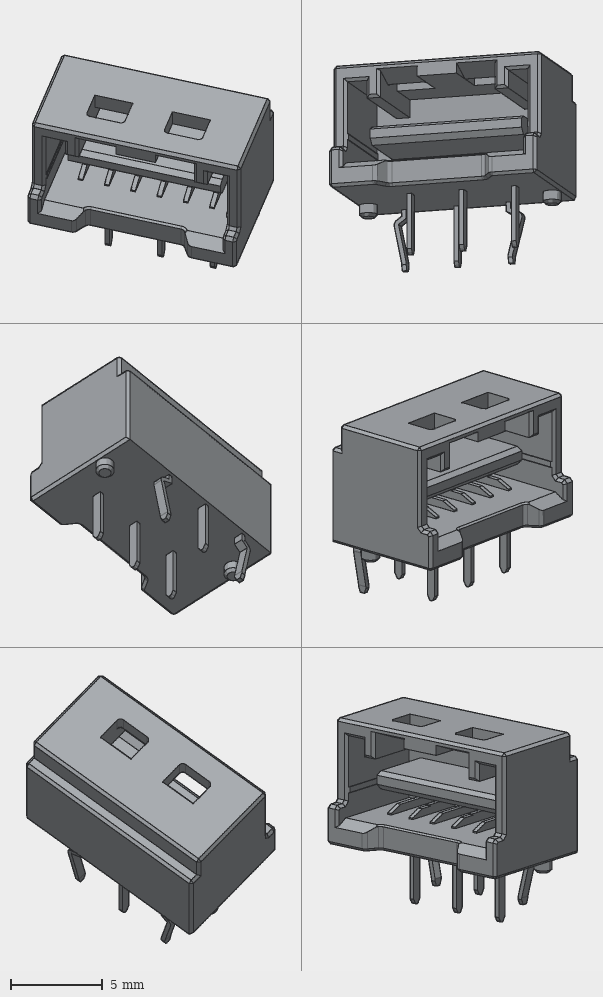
import cadquery as cq
import math


WIDTH = 11.9
DEPTH = 7.25
HEIGHT = 6.96
EDGE = 0.17
HALF_WIDTH = WIDTH / 2
TOLERANCE = 0.001

BACK_STEP_DEPTH = 0.63
BACK_STEP_Z = 5.5
FACE_Y = 0.81
LIP_TOP_Z = 2.25
LIP_BEVEL = 0.19
LIP_SHOULDER = 0.17

NOTCH_FRONT_HALF = 3.26
NOTCH_BACK_HALF = 2.74
NOTCH_ROUND = 0.3
NOTCH_EDGE_RUN = 0.14
NOTCH_EDGE_DROP = 0.08

CAVITY_HALF = 5.18
FLOOR_Z = 1.45
CEILING_Z = 6.05
CAVITY_BACK_Y = 6.19
LEAD_IN_Y = 0.73
LEAD_IN_DROP = 0.42

RIB_INNER_X = 3.3
RIB_WIDTH = 0.75
RIB_BOTTOM_Z = 5.05
CRUSH_RIB_HEIGHT = 0.05
CRUSH_RIB_BOTTOM_Z = 2.81
CRUSH_RIB_TOP_Z = 3.14

LATCH_INNER_X = 1.13
RAMP_TOP_Z = 6.62
WINDOW_FRONT_Y = 2.31
WINDOW_BACK_Y = 3.96
WINDOW_ROUND = 0.24

TONGUE_HALF = 4.34
TONGUE_FRONT_Y = 2.4
TONGUE_TOP_Z = 3.84
TONGUE_TOP_BEVEL_RUN = 0.36
TONGUE_TOP_BEVEL_DROP = 0.19
TONGUE_NOSE_BOTTOM_Z = 3.14
TONGUE_BOTTOM_BEVEL = 0.33
TONGUE_BOTTOM_Z = TONGUE_NOSE_BOTTOM_Z - TONGUE_BOTTOM_BEVEL
TONGUE_ROOT_BEVEL = 0.17
RECESS_BACK_Y = 6.55
RECESS_BEVEL = 0.19

PIN_COUNT = 6
PIN_PITCH = 1.5
PIN_THICKNESS = 0.26
PIN_WIDTH = 0.54
FRONT_ROW_Y = 3.12
BACK_ROW_Y = 6.8
PIN_END_Z = -3.39
PIN_TAPER_Z = -3.08
PIN_TIP_SHOULDER_Z = -3.3
PIN_TIP_HALF = 0.14
PIN_ROOT_Z = FLOOR_Z / 2

KINK_NECK_Z = -0.43
KINK_FOOT_Z = -2.96
ELBOW_ROUND = 0.33
KINKS = {0: ((-0.45, -0.75), 0.0), 4: ((0.68, -0.74), 0.11)}

BLADE_FRONT_Y = 2.76
BLADE_TIP_Z = 1.54
BLADE_TOP_Z = 1.89
BLADE_RAMP = 0.81
HOOK_Y = 4.28
HOOK_HEIGHT = 0.08
HOOK_OVERHANG = 0.08
UPPER_CONTACT_BEVEL = 0.2

PEG_X = 5.27
PEG_Y = 4.96
PEG_RADIUS = 0.5
PEG_LENGTH = 0.68


def box(x0, x1, y0, y1, z0, z1):
    """Block between two opposite corners."""
    return cq.Workplane("XY").box(x1 - x0, y1 - y0, z1 - z0, centered=False).translate((x0, y0, z0))


def x_prism(points, half_width, center_x=0.0):
    """Outline of (y, z) points extruded symmetrically along X."""
    outline = cq.Workplane("YZ").polyline(points).close()
    return outline.extrude(half_width, both=True).translate((center_x, 0, 0))


def both_sides(solid):
    """The solid together with its mirror image across X = 0."""
    return solid.union(solid.mirror("YZ"))


def at(value, target):
    return abs(value - target) < TOLERANCE


def outer_edges(solid):
    """Edges of the side faces, and cross edges at the top, back step and lower front."""
    chosen = []
    for edge in solid.edges().vals():
        bounds = edge.BoundingBox()
        on_side = at(bounds.xlen, 0) and at(abs(edge.Center().x), HALF_WIDTH)
        at_top = at(bounds.zmin, HEIGHT)
        on_step = at(bounds.ymin, DEPTH) and at(bounds.zmin, BACK_STEP_Z)
        lower_front = at(bounds.zmax, 0) and bounds.ymax < FACE_Y + TOLERANCE
        if on_side or at_top or on_step or lower_front:
            chosen.append(edge)
    return solid.newObject(chosen)


def mouth_edges(solid):
    """Edges of the cavity opening on the side walls, the ceiling corners and the guide ribs."""
    rib_outer_x = RIB_INNER_X + RIB_WIDTH
    chosen = []
    for edge in solid.edges().vals():
        bounds = edge.BoundingBox()
        x = abs(edge.Center().x)
        in_front = bounds.ymax < FACE_Y + TOLERANCE
        on_face = in_front and at(bounds.ymin, FACE_Y)
        on_wall = in_front and at(bounds.xlen, 0) and at(x, CAVITY_HALF)
        sloped_floor = at(bounds.zmax, FLOOR_Z)
        on_rib_side = on_face and at(bounds.xlen, 0) and (at(x, RIB_INNER_X) or at(x, rib_outer_x))
        on_rib_end = on_face and at(bounds.zmax, RIB_BOTTOM_Z)
        on_ceiling = on_face and at(bounds.zmin, CEILING_Z) and at(bounds.zmax, CEILING_Z) and x > rib_outer_x
        if (on_wall and not sloped_floor) or on_rib_side or on_rib_end or on_ceiling:
            chosen.append(edge)
    return solid.newObject(chosen)


def notch_outline():
    """Trapezoid cut into the lip, with its sides carried on past the mating face."""
    flare = (NOTCH_FRONT_HALF - NOTCH_BACK_HALF) / FACE_Y
    mouth_half = NOTCH_FRONT_HALF + flare * FACE_Y
    return (
        cq.Sketch()
        .polygon(
            [
                (-mouth_half, -FACE_Y),
                (mouth_half, -FACE_Y),
                (NOTCH_BACK_HALF, FACE_Y),
                (-NOTCH_BACK_HALF, FACE_Y),
                (-mouth_half, -FACE_Y),
            ]
        )
        .vertices(">Y")
        .fillet(NOTCH_ROUND)
        .reset()
    )


def make_shell():
    """Outer block with its back step, stepped mating face and notched lip."""
    upper_back_y = DEPTH - BACK_STEP_DEPTH
    shoulder_y = FACE_Y - LIP_SHOULDER
    shell = x_prism(
        [
            (0, 0),
            (DEPTH, 0),
            (DEPTH, BACK_STEP_Z),
            (upper_back_y, BACK_STEP_Z),
            (upper_back_y, HEIGHT),
            (FACE_Y, HEIGHT),
            (FACE_Y, LIP_TOP_Z + LIP_SHOULDER),
            (shoulder_y, LIP_TOP_Z),
            (LIP_BEVEL, LIP_TOP_Z),
            (0, LIP_TOP_Z - LIP_BEVEL),
        ],
        HALF_WIDTH,
    )
    shell = shell.cut(cq.Workplane("XY").placeSketch(notch_outline()).extrude(HEIGHT))
    front_corners = [
        edge
        for edge in shell.edges("|Z").vals()
        if at(edge.Center().y, 0) and at(abs(edge.Center().x), NOTCH_FRONT_HALF)
    ]
    shell = shell.newObject(front_corners).fillet(NOTCH_ROUND)
    return outer_edges(shell).chamfer(EDGE)


def cut_cavity(body):
    """Mating cavity with guide ribs, latch ramps, sloped floor and chamfered mouth."""
    rib_outer_x = RIB_INNER_X + RIB_WIDTH
    cavity = box(-CAVITY_HALF, CAVITY_HALF, 0, CAVITY_BACK_Y, FLOOR_Z, CEILING_Z)
    rib = box(RIB_INNER_X, rib_outer_x, FACE_Y, CAVITY_BACK_Y, RIB_BOTTOM_Z, CEILING_Z)
    ramp = x_prism(
        [(FACE_Y, CEILING_Z), (FACE_Y, RAMP_TOP_Z), (WINDOW_FRONT_Y, CEILING_Z)],
        (RIB_INNER_X - LATCH_INNER_X) / 2,
        (RIB_INNER_X + LATCH_INNER_X) / 2,
    )
    lead_in = x_prism(
        [(0, FLOOR_Z), (0, FLOOR_Z - LEAD_IN_DROP), (LEAD_IN_Y, FLOOR_Z)],
        CAVITY_HALF,
    )
    notch_bevel = (
        cq.Workplane("XY", origin=(0, 0, FLOOR_Z - NOTCH_EDGE_DROP))
        .placeSketch(notch_outline())
        .extrude(NOTCH_EDGE_DROP, taper=-math.degrees(math.atan(NOTCH_EDGE_RUN / NOTCH_EDGE_DROP)))
    )
    body = body.cut(cavity.cut(both_sides(rib))).cut(both_sides(ramp))
    body = body.cut(lead_in)
    body = mouth_edges(body).chamfer(EDGE)
    return body.cut(notch_bevel)


def make_window():
    """Through window in the roof with rounded front corners."""
    window = box(LATCH_INNER_X, RIB_INNER_X, WINDOW_FRONT_Y, WINDOW_BACK_Y, CEILING_Z, HEIGHT)
    return window.edges("|Z and <Y").fillet(WINDOW_ROUND)


def make_tongue():
    """Tongue standing out from the back of the cavity."""
    return x_prism(
        [
            (TONGUE_FRONT_Y, TONGUE_NOSE_BOTTOM_Z),
            (TONGUE_FRONT_Y, TONGUE_TOP_Z - TONGUE_TOP_BEVEL_DROP),
            (TONGUE_FRONT_Y + TONGUE_TOP_BEVEL_RUN, TONGUE_TOP_Z),
            (RECESS_BACK_Y, TONGUE_TOP_Z),
            (RECESS_BACK_Y, TONGUE_BOTTOM_Z - TONGUE_ROOT_BEVEL),
            (RECESS_BACK_Y - TONGUE_ROOT_BEVEL, TONGUE_BOTTOM_Z),
            (TONGUE_FRONT_Y + TONGUE_BOTTOM_BEVEL, TONGUE_BOTTOM_Z),
        ],
        TONGUE_HALF,
    )


def make_recess():
    """Deeper pocket below the tongue, beveled along its floor."""
    return x_prism(
        [
            (CAVITY_BACK_Y, FLOOR_Z),
            (RECESS_BACK_Y - RECESS_BEVEL, FLOOR_Z),
            (RECESS_BACK_Y, FLOOR_Z + RECESS_BEVEL),
            (RECESS_BACK_Y, TONGUE_NOSE_BOTTOM_Z),
            (CAVITY_BACK_Y, TONGUE_NOSE_BOTTOM_Z),
        ],
        TONGUE_HALF,
    )


def make_crush_rib():
    """Low rib along the right side wall, its front end in line with the mouth chamfer."""
    crest_x = CAVITY_HALF - CRUSH_RIB_HEIGHT
    root_x = CAVITY_HALF + EDGE
    return (
        cq.Workplane("XY", origin=(0, 0, CRUSH_RIB_BOTTOM_Z))
        .polyline(
            [
                (root_x, FACE_Y),
                (crest_x, FACE_Y + EDGE + CRUSH_RIB_HEIGHT),
                (crest_x, CAVITY_BACK_Y),
                (root_x, CAVITY_BACK_Y),
            ]
        )
        .close()
        .extrude(CRUSH_RIB_TOP_Z - CRUSH_RIB_BOTTOM_Z)
    )


def make_contact(x, hooked):
    """Lower blade on the floor and upper blade under the tongue for one pin."""
    blade_top_y = BLADE_FRONT_Y + BLADE_RAMP
    lower = [
        (BLADE_FRONT_Y, PIN_ROOT_Z),
        (BLADE_FRONT_Y, BLADE_TIP_Z),
        (blade_top_y, BLADE_TOP_Z),
    ]
    if hooked:
        lower += [
            (HOOK_Y, BLADE_TOP_Z),
            (HOOK_Y - HOOK_OVERHANG, BLADE_TOP_Z + HOOK_HEIGHT),
            (RECESS_BACK_Y, BLADE_TOP_Z + HOOK_HEIGHT),
        ]
    lower += [(RECESS_BACK_Y, BLADE_TOP_Z), (RECESS_BACK_Y, PIN_ROOT_Z)]
    upper = [
        (RECESS_BACK_Y - UPPER_CONTACT_BEVEL, TONGUE_BOTTOM_Z),
        (RECESS_BACK_Y, TONGUE_BOTTOM_Z),
        (RECESS_BACK_Y, TONGUE_BOTTOM_Z - UPPER_CONTACT_BEVEL),
    ]
    half = PIN_THICKNESS / 2
    return x_prism(lower, half, x).union(x_prism(upper, half, x))


def make_straight_pin(x, y):
    """Flat pin with tapered sides and a round tip."""
    half = PIN_WIDTH / 2
    return (
        cq.Workplane("YZ")
        .moveTo(-half, PIN_ROOT_Z)
        .lineTo(-half, PIN_TAPER_Z)
        .lineTo(-PIN_TIP_HALF, PIN_TIP_SHOULDER_Z)
        .threePointArc((0, PIN_END_Z), (PIN_TIP_HALF, PIN_TIP_SHOULDER_Z))
        .lineTo(half, PIN_TAPER_Z)
        .lineTo(half, PIN_ROOT_Z)
        .close()
        .extrude(PIN_THICKNESS / 2, both=True)
        .translate((x, y, 0))
    )


def strip_side(path, offset):
    """Path of (x, z) points moved sideways by offset, mitered at each bend."""
    headings = [math.atan2(b[1] - a[1], b[0] - a[0]) for a, b in zip(path, path[1:])]
    before = headings[:1] + headings
    after = headings + headings[-1:]
    side = []
    for (x, z), h0, h1 in zip(path, before, after):
        normal = (h0 + h1) / 2 + math.pi / 2
        reach = offset / math.cos((h1 - h0) / 2)
        side.append((x + reach * math.cos(normal), z + reach * math.sin(normal)))
    return side


def make_kinked_pin(x, y, elbow, tip_shift):
    """Pin bent sideways to an elbow (dx, z) and back, which grips the board hole."""
    path = [
        (x, PIN_ROOT_Z),
        (x, KINK_NECK_Z),
        (x + elbow[0], elbow[1]),
        (x + tip_shift, KINK_FOOT_Z),
        (x + tip_shift, PIN_END_Z),
    ]
    half = PIN_THICKNESS / 2
    outline = strip_side(path, half) + strip_side(path, -half)[::-1]
    pin = cq.Workplane("XZ").polyline(outline).close().extrude(PIN_WIDTH / 2, both=True)
    pin = pin.edges("|Y").edges(">X" if elbow[0] > 0 else "<X").fillet(ELBOW_ROUND)
    envelope = (
        cq.Workplane("YZ")
        .polyline(
            [
                (-PIN_WIDTH / 2, PIN_ROOT_Z),
                (-PIN_WIDTH / 2, PIN_TAPER_Z),
                (-PIN_TIP_HALF, PIN_END_Z),
                (PIN_TIP_HALF, PIN_END_Z),
                (PIN_WIDTH / 2, PIN_TAPER_Z),
                (PIN_WIDTH / 2, PIN_ROOT_Z),
            ]
        )
        .close()
        .extrude(HALF_WIDTH, both=True)
    )
    pin = pin.intersect(envelope)
    return pin.translate((0, y, 0))


def make_peg():
    """Locating peg under the housing with a chamfered end."""
    peg = cq.Workplane("XY").circle(PEG_RADIUS).extrude(-PEG_LENGTH).faces("<Z").chamfer(EDGE)
    return peg.translate((PEG_X, PEG_Y, 0))


result = cut_cavity(make_shell())
result = result.cut(both_sides(make_window()))
result = result.cut(make_recess()).union(make_tongue())
result = result.union(both_sides(make_crush_rib())).union(both_sides(make_peg()))

for index in range(PIN_COUNT):
    pin_x = (index - (PIN_COUNT - 1) / 2) * PIN_PITCH
    in_front_row = index % 2 == 1
    result = result.union(make_contact(pin_x, in_front_row))
    if index in KINKS:
        elbow, tip_shift = KINKS[index]
        pin = make_kinked_pin(pin_x, BACK_ROW_Y, elbow, tip_shift)
    else:
        pin = make_straight_pin(pin_x, FRONT_ROW_Y if in_front_row else BACK_ROW_Y)
    result = result.union(pin)